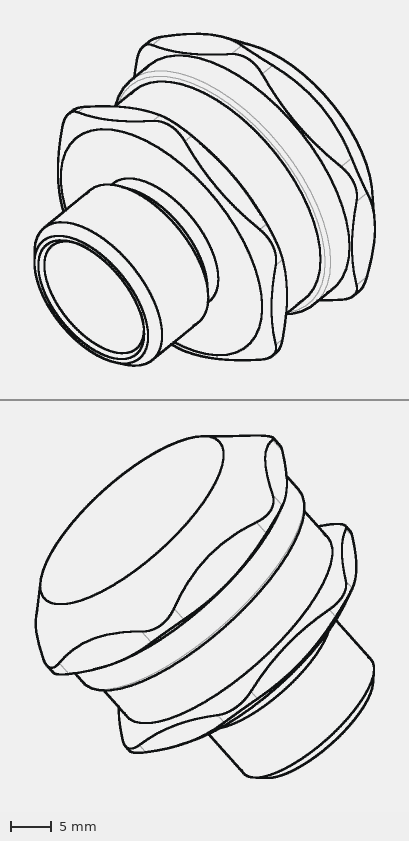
import cadquery as cq
import math

TOTAL_LENGTH = 35.75

NUT_FLATS = 36
NUT_CORNERS = 40
NUT_BACK_DIAMETER = 28.8
NUT_END = 8.05

COLLAR_DIAMETER = 35.5
COLLAR_END = 12
COLLAR_EDGE_RADIUS = 0.5
BODY_DIAMETER = 33.0

FLANGE_FLATS = 35.0
FLANGE_CORNERS = 38.8
FLANGE_START = 18.73
FLANGE_END = 22.77

NECK_DIAMETER = 18.65
NECK_END = 24.77
SPIGOT_DIAMETER = 20.97
SPIGOT_TIP_CHAMFER = 1.3
SPIGOT_TIP_DIAMETER = NECK_DIAMETER
RECESS_MOUTH_DIAMETER = 17.35
RECESS_FLOOR_DIAMETER = 16.33
RECESS_DEPTH = 0.52

HEX_BEVEL_SLOPE = math.tan(math.radians(30))


def revolve_profile(profile):
    """Revolve (radius, station) points, listed from axis to axis, about Y."""
    points = [(radius, TOTAL_LENGTH - station) for radius, station in profile]
    return cq.Workplane("XY").polyline(points).close().revolve(360, (0, 0), (0, 1))


def rounded_hexagon(flats, corners, start, end):
    """Hexagonal prism along Y, corners up and down, rounded to the given corner width."""
    sharp_corners = flats / math.cos(math.pi / 6)
    corner_radius = (sharp_corners - corners) / 2 / (1 / math.cos(math.pi / 6) - 1)
    return (
        cq.Workplane("XZ", origin=(0, TOTAL_LENGTH - start, 0))
        .transformed(rotate=(0, 0, 90))
        .polygon(6, sharp_corners)
        .extrude(end - start)
        .edges("|Y")
        .fillet(corner_radius)
    )


def make_nut():
    back_radius = NUT_BACK_DIAMETER / 2
    front_radius = COLLAR_DIAMETER / 2
    corner_radius = NUT_CORNERS / 2
    back_cone_end = corner_radius - back_radius
    front_bevel = (corner_radius - front_radius) * HEX_BEVEL_SLOPE
    envelope = revolve_profile([
        (0, 0),
        (back_radius, 0),
        (corner_radius, back_cone_end),
        (corner_radius, NUT_END - front_bevel),
        (front_radius, NUT_END),
        (0, NUT_END),
    ])
    return rounded_hexagon(NUT_FLATS, NUT_CORNERS, 0, NUT_END).intersect(envelope)


def make_flange():
    face_radius = BODY_DIAMETER / 2
    corner_radius = FLANGE_CORNERS / 2
    bevel = (corner_radius - face_radius) * HEX_BEVEL_SLOPE
    envelope = revolve_profile([
        (0, FLANGE_START),
        (face_radius, FLANGE_START),
        (corner_radius, FLANGE_START + bevel),
        (corner_radius, FLANGE_END - bevel),
        (face_radius, FLANGE_END),
        (0, FLANGE_END),
    ])
    hexagon = rounded_hexagon(FLANGE_FLATS, FLANGE_CORNERS, FLANGE_START, FLANGE_END)
    return hexagon.intersect(envelope)


def make_collar_and_body():
    body_length = FLANGE_START - NUT_END
    collar_length = COLLAR_END - NUT_END
    start_plane = cq.Workplane("XZ", origin=(0, TOTAL_LENGTH - NUT_END, 0))
    collar = start_plane.circle(COLLAR_DIAMETER / 2).extrude(collar_length)
    collar = collar.faces("<Y").edges().fillet(COLLAR_EDGE_RADIUS)
    body = start_plane.circle(BODY_DIAMETER / 2).extrude(body_length)
    return collar.union(body)


def make_spigot():
    neck_radius = NECK_DIAMETER / 2
    spigot_radius = SPIGOT_DIAMETER / 2
    neck_chamfer = spigot_radius - neck_radius
    return revolve_profile([
        (0, FLANGE_END),
        (neck_radius, FLANGE_END),
        (neck_radius, NECK_END),
        (spigot_radius, NECK_END + neck_chamfer),
        (spigot_radius, TOTAL_LENGTH - SPIGOT_TIP_CHAMFER),
        (SPIGOT_TIP_DIAMETER / 2, TOTAL_LENGTH),
        (RECESS_MOUTH_DIAMETER / 2, TOTAL_LENGTH),
        (RECESS_FLOOR_DIAMETER / 2, TOTAL_LENGTH - RECESS_DEPTH),
        (0, TOTAL_LENGTH - RECESS_DEPTH),
    ])


result = make_nut().union(make_collar_and_body()).union(make_flange()).union(make_spigot())